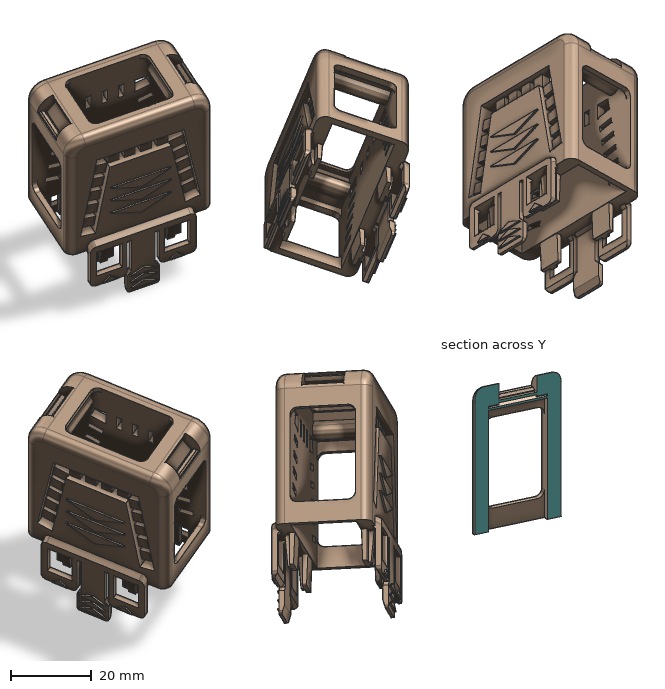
import cadquery as cq
import math

HOUSING_WIDTH = 24.35
HOUSING_LENGTH = 40.0
HOUSING_HEIGHT = 40.0
OVERALL_HEIGHT = 58.5
EDGE_RADIUS = 2.5
END_RADIUS = 5.0
CAVITY_WIDTH = 16.5
END_WALL = 1.45
TOP_WALL = 1.45
WINDOW_RADIUS = 2.0
TOP_WINDOW_LENGTH = 23.0
END_WINDOW_BOTTOM = 5.5
END_WINDOW_HEIGHT = 24.55

SIDE_X = HOUSING_WIDTH / 2
END_Y = HOUSING_LENGTH / 2
CAVITY_X = CAVITY_WIDTH / 2

POCKET_WIDTH = 10.6
POCKET_SETBACK = 4.15
POCKET_OVERSHOOT = 2.35
LEDGE_DEPTH = 0.8
LEDGE_WIDTH = 0.6
THROAT_DEPTH = 1.9
THROAT_INSET = 1.0
CHANNEL_INSET = 0.4
CHANNEL_END = 9.35
CHANNEL_SPREAD_DEPTH = 3.5
CORNER_BLOCK = 7.25
STRAP_BAR_START = 2.65
STRAP_BAR_STRAIGHT_END = 5.9
POCKET_CHORD = POCKET_SETBACK * math.sqrt(2)

FRAME_TOP = 31.5
FRAME_TOP_HALF_WIDTH = 12.0
FRAME_EDGE_LENGTH = 26.0
FRAME_BAND = 4.2
FRAME_TILT = 10.0
FRAME_DEPTH = 1.45
LOUVRE_BAR = 3.0
LOUVRE_GAP = 1.5
LOUVRE_PITCH = LOUVRE_BAR + LOUVRE_GAP
SLANTED_BAR_COUNT = 5
TOP_BAR_COUNT = 4

SIDE_ARROW_HEIGHT = 0.45
SIDE_ARROW_HALF_WIDTH = 8.3
SIDE_ARROW_LENGTH = 3.3
SIDE_ARROW_TOP = 19.95
SIDE_ARROW_PITCH = 4.5
SIDE_ARROW_COUNT = 3
CLIP_ARROW_HEIGHT = 0.5
CLIP_ARROW_LENGTH = 1.65
WING_ARROW_HALF_WIDTH = 2.05
WING_ARROW_BASE = -11.5
WING_ARROW_Y = 9.2
TONGUE_ARROW_HALF_WIDTH = 3.75
TONGUE_ARROW_BASE = -17.0
TONGUE_ARROW_PITCH = 2.3
TONGUE_ARROW_COUNT = 3

CLIP_OUTER_X = 13.8
CLIP_THICKNESS = 1.45
CLIP_HALF_LENGTH = 14.55
CLIP_ROOT_TOP = 3.0
CLIP_SHOULDER = 2.0
CLIP_ROOT_DROP = 0.9
CLIP_ROOT_OVERLAP = 0.65
CLIP_CORNER_RADIUS = 1.6
WING_BOTTOM = -12.0
WING_INNER_Y = 4.45
WING_CHAMFER_WIDTH = 0.8
WING_CHAMFER_HEIGHT = 1.1
CLIP_SLOT_WIDTH = 1.15
CLIP_SLOT_RADIUS = 0.4
CLIP_WINDOW_INNER_Y = 5.8
CLIP_WINDOW_OUTER_Y = 12.8
CLIP_WINDOW_BOTTOM = -8.55
TONGUE_BOTTOM = HOUSING_HEIGHT - OVERALL_HEIGHT
TONGUE_NECK_END = -11.2
TONGUE_FLARE_END = -12.45
TONGUE_HALF_WIDTH = 4.45
TONGUE_RADIUS = 0.9
TONGUE_TIP_THICKNESS = 0.75
TONGUE_TAPER = 2.3
CLIP_INNER_X = CLIP_OUTER_X - CLIP_THICKNESS
CLIP_ROOT_X = SIDE_X - CLIP_ROOT_OVERLAP
NECK_HALF_WIDTH = WING_INNER_Y - CLIP_SLOT_WIDTH

PEG_INNER_X = 8.35
PEG_INNER_TIP_X = 8.7
PEG_FACE_X = 9.75
PEG_RIB_X = 11.25
PEG_RIB_TIP_X = 10.5
PEG_INNER_Y = 6.2
PEG_OUTER_Y = 12.2
PEG_LENGTH = 8.15
PEG_RADIUS = 0.4
PEG_RIB_SHARE = 1 / 3

CLEARANCE = 0.6


def box(x0, x1, y0, y1, z0, z1):
    return cq.Workplane("XY").box(x1 - x0, y1 - y0, z1 - z0, centered=False).translate((x0, y0, z0))


def side_prism(points, x0, x1):
    """Extrude a (y, z) outline from x0 to x1."""
    return cq.Workplane("YZ", origin=(x0, 0, 0)).polyline(points).close().extrude(x1 - x0)


def lengthwise_prism(points, half_length):
    """Extrude an (x, z) outline to both sides of the XZ plane."""
    return cq.Workplane("XZ").polyline(points).close().extrude(half_length, both=True)


def both_sides(solid):
    return solid.union(solid.mirror("YZ"))


def both_ends(solid):
    return solid.union(solid.mirror("XZ"))


def pocket_point(s, d):
    """Convert pocket coordinates to (y, z) at the +Y end."""
    from_end = POCKET_SETBACK + (d - s) / math.sqrt(2)
    from_top = (d + s) / math.sqrt(2)
    return END_Y - from_end, HOUSING_HEIGHT - from_top


def make_channel_spread():
    """Inner part of the strap channel, open across the whole cavity."""
    near, far = CHANNEL_INSET, POCKET_CHORD - CHANNEL_INSET
    outline = [
        pocket_point(near, CHANNEL_SPREAD_DEPTH),
        pocket_point(near, CHANNEL_END),
        pocket_point(far, CHANNEL_END),
        pocket_point(far, CHANNEL_SPREAD_DEPTH),
    ]
    return side_prism(outline, -CAVITY_X, CAVITY_X)


def make_shell():
    block = box(-SIDE_X, SIDE_X, -END_Y, END_Y, 0, HOUSING_HEIGHT)
    shell = block.edges(">Z and |X").fillet(END_RADIUS)
    shell = shell.edges("|Z").fillet(EDGE_RADIUS)
    cavity_end = END_Y - END_WALL
    cavity_top = HOUSING_HEIGHT - TOP_WALL
    cavity = box(-CAVITY_X, CAVITY_X, -cavity_end, cavity_end, 0, cavity_top)
    corner = box(-CAVITY_X, CAVITY_X, END_Y - CORNER_BLOCK, END_Y,
                 HOUSING_HEIGHT - CORNER_BLOCK, HOUSING_HEIGHT)
    corner = corner.cut(make_channel_spread())
    return shell.cut(cavity.cut(both_ends(corner)))


def make_windows():
    top = (
        cq.Workplane("XY", origin=(0, 0, HOUSING_HEIGHT - CORNER_BLOCK))
        .rect(CAVITY_WIDTH, TOP_WINDOW_LENGTH)
        .extrude(CORNER_BLOCK)
        .edges("|Z")
        .fillet(WINDOW_RADIUS)
    )
    ends = (
        cq.Workplane("XZ", origin=(0, 0, END_WINDOW_BOTTOM + END_WINDOW_HEIGHT / 2))
        .rect(CAVITY_WIDTH, END_WINDOW_HEIGHT)
        .extrude(END_Y, both=True)
        .edges("|Y")
        .fillet(WINDOW_RADIUS)
    )
    return top.union(ends)


def make_pocket():
    upper_half = [
        (0, -POCKET_OVERSHOOT),
        (0, LEDGE_DEPTH),
        (LEDGE_WIDTH, LEDGE_DEPTH),
        (THROAT_INSET, THROAT_DEPTH),
        (CHANNEL_INSET, THROAT_DEPTH),
        (CHANNEL_INSET, CHANNEL_END),
    ]
    lower_half = [(POCKET_CHORD - s, d) for s, d in reversed(upper_half)]
    outline = [pocket_point(s, d) for s, d in upper_half + lower_half]
    return side_prism(outline, -POCKET_WIDTH / 2, POCKET_WIDTH / 2)


def make_strap_bar():
    """Bar behind the pocket: flat towards the outside, half round towards the cavity."""
    near, far = THROAT_INSET, POCKET_CHORD - THROAT_INSET
    round_end = STRAP_BAR_STRAIGHT_END + (far - near) / 2
    return (
        cq.Workplane("YZ", origin=(-CAVITY_X, 0, 0))
        .moveTo(*pocket_point(near, STRAP_BAR_START))
        .lineTo(*pocket_point(near, STRAP_BAR_STRAIGHT_END))
        .threePointArc(pocket_point((near + far) / 2, round_end), pocket_point(far, STRAP_BAR_STRAIGHT_END))
        .lineTo(*pocket_point(far, STRAP_BAR_START))
        .close()
        .extrude(CAVITY_WIDTH)
    )


def make_louvre_cut():
    """Sunken frame on the +X wall with the gaps between its bars open to the cavity."""
    tilt = math.radians(FRAME_TILT)
    along = (math.sin(tilt), -math.cos(tilt))
    across = (-math.cos(tilt), -math.sin(tilt))
    frame_floor = SIDE_X - FRAME_DEPTH
    outside = SIDE_X + CLEARANCE

    def leg_point(distance, inset):
        """Point on the slanted leg: distance down its outer edge, inset towards the middle."""
        y = FRAME_TOP_HALF_WIDTH + distance * along[0] + inset * across[0]
        z = FRAME_TOP + distance * along[1] + inset * across[1]
        return y, z

    inner_top_z = FRAME_TOP - FRAME_BAND
    inner_bottom = leg_point(FRAME_EDGE_LENGTH, FRAME_BAND)
    inner_top_y = inner_bottom[0] - (inner_top_z - inner_bottom[1]) * math.tan(tilt)
    half = [
        (FRAME_TOP_HALF_WIDTH, FRAME_TOP),
        leg_point(FRAME_EDGE_LENGTH, 0),
        inner_bottom,
        (inner_top_y, inner_top_z),
    ]
    outline = half + [(-y, z) for y, z in reversed(half)]
    frame = side_prism(outline, CAVITY_X - CLEARANCE, outside)

    bars = None
    for i in range(SLANTED_BAR_COUNT):
        bottom = FRAME_EDGE_LENGTH - LOUVRE_GAP - i * LOUVRE_PITCH
        top = bottom - LOUVRE_BAR
        corners = [leg_point(top, -CLEARANCE), leg_point(bottom, -CLEARANCE),
                   leg_point(bottom, FRAME_BAND), leg_point(top, FRAME_BAND)]
        bar = both_ends(side_prism(corners, CAVITY_X - CLEARANCE, frame_floor))
        bars = bar if bars is None else bars.union(bar)
    for i in range(TOP_BAR_COUNT):
        y = (i - (TOP_BAR_COUNT - 1) / 2) * LOUVRE_PITCH
        bars = bars.union(box(CAVITY_X - CLEARANCE, frame_floor, y - LOUVRE_BAR / 2, y + LOUVRE_BAR / 2,
                              inner_top_z, FRAME_TOP))
    return frame.cut(bars)


def arrow(y, base_z, half_width, length, face_x, height):
    """Raised triangle on a +X face; a negative length points it down."""
    outline = [(y - half_width, base_z), (y + half_width, base_z), (y, base_z + length)]
    return side_prism(outline, face_x - height, face_x + height)


def make_side_arrows():
    arrows = cq.Workplane("XY")
    for i in range(SIDE_ARROW_COUNT):
        base = SIDE_ARROW_TOP - i * SIDE_ARROW_PITCH
        arrows = arrows.add(
            arrow(0, base, SIDE_ARROW_HALF_WIDTH, -SIDE_ARROW_LENGTH, SIDE_X, SIDE_ARROW_HEIGHT)
        )
    return arrows.combine()


def make_wings():
    """Clip plate on the +X side: two windowed wings with a gap for the tongue between them."""
    wings = lengthwise_prism(
        [
            (CLIP_ROOT_X, 0),
            (CLIP_ROOT_X, CLIP_ROOT_TOP),
            (SIDE_X, CLIP_ROOT_TOP),
            (CLIP_OUTER_X, CLIP_SHOULDER),
            (CLIP_OUTER_X, WING_BOTTOM),
            (CLIP_INNER_X + WING_CHAMFER_WIDTH, WING_BOTTOM),
            (CLIP_INNER_X, WING_BOTTOM + WING_CHAMFER_HEIGHT),
            (CLIP_INNER_X, -CLIP_ROOT_DROP),
        ],
        CLIP_HALF_LENGTH,
    )
    shoulder = cq.selectors.BoxSelector(
        (SIDE_X, -END_Y, CLIP_SHOULDER), (CLIP_OUTER_X, END_Y, CLIP_ROOT_TOP)
    )
    wings = wings.edges(shoulder).edges("not |Y").edges("not |X").fillet(CLIP_CORNER_RADIUS)
    tongue_gap = box(CLIP_ROOT_X, CLIP_OUTER_X, -WING_INNER_Y, WING_INNER_Y, WING_BOTTOM, 0)
    wings = wings.cut(tongue_gap.edges("|X and >Z").fillet(CLIP_SLOT_RADIUS))
    wings = wings.edges("|X and <Z").fillet(CLIP_CORNER_RADIUS)
    window = box(CLIP_ROOT_X, CLIP_OUTER_X, CLIP_WINDOW_INNER_Y, CLIP_WINDOW_OUTER_Y, CLIP_WINDOW_BOTTOM, 0)
    return wings.cut(both_ends(window))


def make_tongue():
    """Tongue between the wings, tapered at its tip; its neck leaves a slot on each side."""
    half = [
        (NECK_HALF_WIDTH, CLEARANCE),
        (NECK_HALF_WIDTH, TONGUE_NECK_END),
        (TONGUE_HALF_WIDTH, TONGUE_FLARE_END),
        (TONGUE_HALF_WIDTH, TONGUE_BOTTOM),
    ]
    outline = half + [(-y, z) for y, z in reversed(half)]
    blade = side_prism(outline, CLIP_ROOT_X, CLIP_OUTER_X)
    blade = blade.edges("|X and <Z").fillet(TONGUE_RADIUS)
    section = lengthwise_prism(
        [
            (CLIP_ROOT_X, 0),
            (CLIP_INNER_X, CLEARANCE),
            (CLIP_OUTER_X, CLEARANCE),
            (CLIP_OUTER_X, TONGUE_BOTTOM),
            (CLIP_OUTER_X - TONGUE_TIP_THICKNESS, TONGUE_BOTTOM),
            (CLIP_INNER_X, TONGUE_BOTTOM + TONGUE_TAPER),
            (CLIP_INNER_X, -CLIP_ROOT_DROP),
        ],
        TONGUE_HALF_WIDTH,
    )
    return blade.intersect(section)


def make_clip_arrows():
    arrows = cq.Workplane("XY")
    for y in (-WING_ARROW_Y, WING_ARROW_Y):
        arrows = arrows.add(arrow(y, WING_ARROW_BASE, WING_ARROW_HALF_WIDTH, CLIP_ARROW_LENGTH,
                                  CLIP_OUTER_X, CLIP_ARROW_HEIGHT))
    for i in range(TONGUE_ARROW_COUNT):
        base = TONGUE_ARROW_BASE + i * TONGUE_ARROW_PITCH
        arrows = arrows.add(arrow(0, base, TONGUE_ARROW_HALF_WIDTH, CLIP_ARROW_LENGTH,
                                  CLIP_OUTER_X, CLIP_ARROW_HEIGHT))
    return arrows.combine()


def make_peg():
    """Peg at the +X, +Y quarter: a flat blade stiffened by a rib on its outer face."""
    length_y = PEG_OUTER_Y - PEG_INNER_Y
    middle_y = (PEG_OUTER_Y + PEG_INNER_Y) / 2
    blade = lengthwise_prism(
        [(PEG_INNER_X, 0), (PEG_FACE_X, 0), (PEG_FACE_X, -PEG_LENGTH), (PEG_INNER_TIP_X, -PEG_LENGTH)],
        length_y / 2,
    )
    blade = blade.edges("|X and <Z and <Y").fillet(PEG_RADIUS)
    rib = lengthwise_prism(
        [(PEG_INNER_TIP_X, 0), (PEG_RIB_X, 0), (PEG_RIB_TIP_X, -PEG_LENGTH), (PEG_INNER_TIP_X, -PEG_LENGTH)],
        length_y * PEG_RIB_SHARE / 2,
    )
    return blade.union(rib).translate((0, middle_y, 0))


housing = make_shell().cut(make_windows()).cut(both_ends(make_pocket()))
housing = housing.union(both_ends(make_strap_bar()))
housing = housing.cut(both_sides(make_louvre_cut())).union(both_sides(make_side_arrows()))
clip = make_wings().union(make_tongue()).union(make_clip_arrows())
result = housing.union(both_sides(clip)).union(both_sides(both_ends(make_peg())))